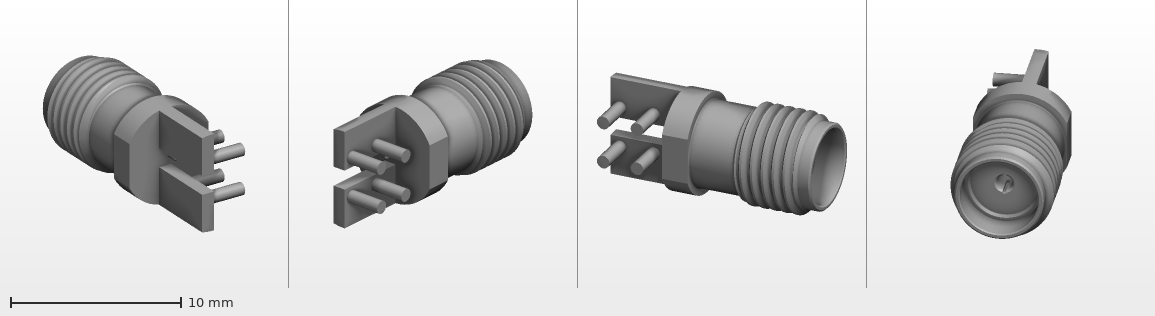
import cadquery as cq
import math


sleeve_radius = 2.665
sleeve_chamfer = 0.1
thread_start = 0.8
thread_end = 5.0
thread_major_radius = 3.097
thread_root_radius = 2.74
thread_pitch = 25.4 / 36
groove_root_width = 0.15
groove_flank_angle = 30.0
groove_overcut = 0.05
groove_centre_below_axis = 0.252

flange_start = 7.85
flange_end = 9.5
flange_radius = 3.135
flange_width = 5.58
neck_fillet = 0.08

leg_end = 14.08
through_length = 2 * leg_end
leg_front_y = -0.7
leg_back_y = 0.15
leg_gap = 1.23
pin_radius = 0.405
pin_offset_z = 1.27
pin_tip_y = 2.48
pin_positions_x = (11.27, 13.46)
tail_radius = 0.12
tail_end = 10.28
tail_chamfer = 0.07

bore_radius = 2.33
bore_lip_chamfer = 0.07
bore_depth = 1.88
seat_outer_radius = 2.13
seat_inner_radius = 2.0
dielectric_face = 2.1
contact_radius = 0.667
contact_hole_radius = 0.49
contact_hole_chamfer = 0.11
contact_hole_depth = 2.0
contact_tip_angle = 118.0
contact_slot_width = 0.22
contact_slot_depth = 1.5


def revolve_about_x(points):
    """Solid of revolution about X from (x, radius) points, its seam on the -Y side."""
    profile = [(x, -radius) for x, radius in points]
    return cq.Workplane("XY").polyline(profile).close().revolve(360, (0, 0, 0), (1, 0, 0))


def cylinder_along_x(radius, start, end):
    return cq.Workplane("YZ", origin=(start, 0, 0)).circle(radius).extrude(end - start)


def make_thread_groove():
    """Helical trapezoid cutter, run past both ends of the thread."""
    cutter_radius = thread_major_radius + groove_overcut
    cutter_height = cutter_radius - thread_root_radius
    half_root = groove_root_width / 2
    half_mouth = half_root + cutter_height * math.tan(math.radians(groove_flank_angle))
    turns = math.ceil((thread_end - groove_centre_below_axis) / thread_pitch) + 1
    path = cq.Wire.makeHelix(thread_pitch, turns * thread_pitch, thread_root_radius)
    profile = cq.Workplane("XZ").polyline(
        [
            (thread_root_radius, -half_root),
            (cutter_radius, -half_mouth),
            (cutter_radius, half_mouth),
            (thread_root_radius, half_root),
        ]
    ).close()
    groove = profile.sweep(cq.Workplane(obj=path), isFrenet=True)
    groove = groove.rotate((0, 0, 0), (0, 1, 0), 90)
    return groove.translate((groove_centre_below_axis, 0, 0))


def make_thread():
    """Threaded barrel with 45 degree chamfers at both ends."""
    chamfer = thread_major_radius - sleeve_radius
    barrel = revolve_about_x(
        [
            (thread_start, 0),
            (thread_start, sleeve_radius),
            (thread_start + chamfer, thread_major_radius),
            (thread_end - chamfer, thread_major_radius),
            (thread_end, sleeve_radius),
            (thread_end, 0),
        ]
    )
    return barrel.cut(make_thread_groove())


def make_flange():
    """Round flange with two flats facing -Y and +Y."""
    flange = cylinder_along_x(flange_radius, flange_start, flange_end)
    flats = cq.Workplane("XY").box(through_length, flange_width, 2 * flange_radius)
    return flange.intersect(flats)


def make_sleeve():
    """Smooth cylinder under the thread, filleted into the flange."""
    neck_start = flange_start - neck_fillet
    return (
        cq.Workplane("XY")
        .lineTo(0, sleeve_chamfer - sleeve_radius)
        .lineTo(sleeve_chamfer, -sleeve_radius)
        .lineTo(neck_start, -sleeve_radius)
        .radiusArc((flange_start, -sleeve_radius - neck_fillet), neck_fillet)
        .lineTo(flange_start, 0)
        .close()
        .revolve(360, (0, 0, 0), (1, 0, 0))
    )


def make_legs():
    """Two flat legs, their outer edges following the flange cylinder, with two pins each toward +Y."""
    legs = cylinder_along_x(flange_radius, flange_end, leg_end)
    leg_middle_y = (leg_front_y + leg_back_y) / 2
    slab = cq.Workplane("XY").box(through_length, leg_back_y - leg_front_y, 2 * flange_radius)
    gap = cq.Workplane("XY").box(through_length, 2 * flange_width, leg_gap)
    legs = legs.intersect(slab.translate((0, leg_middle_y, 0))).cut(gap)
    for x in pin_positions_x:
        for z in (-pin_offset_z, pin_offset_z):
            pin = cq.Workplane("XZ", origin=(x, leg_middle_y, z)).circle(pin_radius)
            legs = legs.union(pin.extrude(leg_middle_y - pin_tip_y))
    return legs


def make_tail():
    """Thin solder tail of the centre contact."""
    return cylinder_along_x(tail_radius, flange_start, tail_end).faces(">X").chamfer(tail_chamfer)


def make_bore():
    """Mating bore down to the dielectric face, with a 45 degree seat at its bottom."""
    seat_end = bore_depth + seat_outer_radius - seat_inner_radius
    return revolve_about_x(
        [
            (0, 0),
            (0, bore_radius + bore_lip_chamfer),
            (bore_lip_chamfer, bore_radius),
            (bore_depth, bore_radius),
            (bore_depth, seat_outer_radius),
            (seat_end, seat_inner_radius),
            (dielectric_face, seat_inner_radius),
            (dielectric_face, 0),
        ]
    )


def make_contact_hole():
    """Chamfered contact hole with a conical bottom and a slot across Z."""
    hole_end = dielectric_face + contact_hole_depth
    tip_depth = contact_hole_radius / math.tan(math.radians(contact_tip_angle / 2))
    hole = revolve_about_x(
        [
            (dielectric_face, 0),
            (dielectric_face, contact_hole_radius + contact_hole_chamfer),
            (dielectric_face + contact_hole_chamfer, contact_hole_radius),
            (hole_end, contact_hole_radius),
            (hole_end + tip_depth, 0),
        ]
    )
    slot_end = dielectric_face + contact_slot_depth
    slot_sides = cq.Workplane("XY").box(through_length, contact_slot_width, 2 * contact_radius)
    slot = cylinder_along_x(contact_radius, dielectric_face, slot_end).intersect(slot_sides)
    return hole.union(slot)


body = make_sleeve().union(make_thread()).union(make_flange()).union(make_legs()).union(make_tail())
result = body.cut(make_bore()).cut(make_contact_hole()).solids()